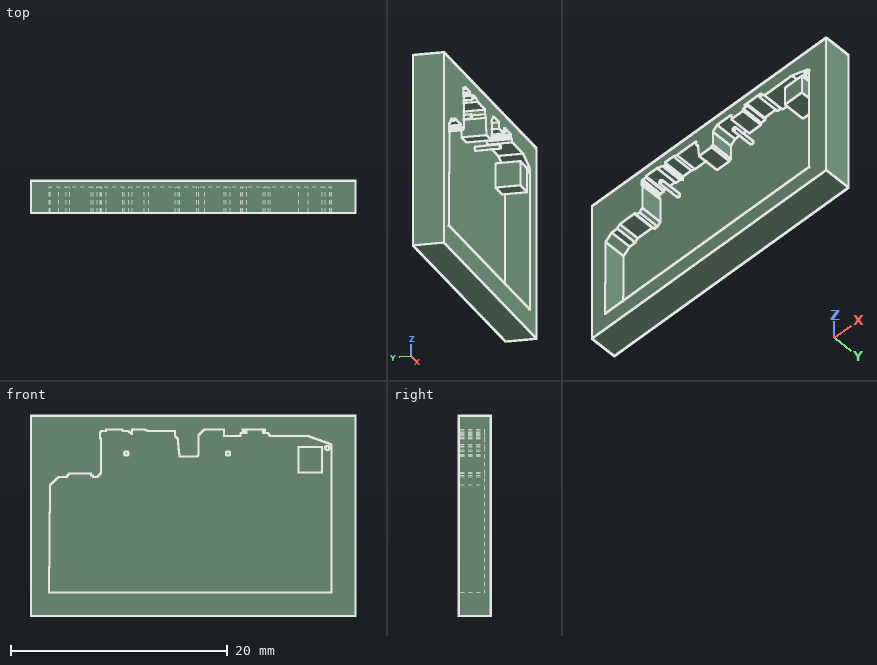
import cadquery as cq

WIDTH = 30.0
THICKNESS = 3.0
HEIGHT = 18.5
POCKET_DEPTH = 2.4

POCKET_LEFT = 1.68
POCKET_LEFT_TOP = 1.77
POCKET_RIGHT = 27.79
POCKET_BOTTOM = 2.16

SHOULDER_LOW = 12.82
SHOULDER_HIGH = 13.18
TONGUE_BOTTOM = 14.72
EDGE_Z = 16.62
LIP_Z = 16.89
LEDGE_Z = 17.07
CROWN_Z = 17.25
STEP = 0.18
SHOULDER_STEP_X = 5.54

PIN_DIAMETER = 0.39
PIN_CENTERS = [(8.82, 15.01), (18.21, 15.01), (27.38, 15.53)]
BLOCK_LEFT = 24.72
BLOCK_BOTTOM = 13.27
BLOCK_WIDTH = 2.16
BLOCK_HEIGHT = 2.35


def front_plane(depth):
    """Sketch plane at Y = depth, with X to the right, Z up and its normal toward -Y."""
    return cq.Workplane("XZ", origin=(0, depth, 0))


def pocket_outline():
    """Points (X, Z) of the pocket, clockwise from its lower left corner."""
    left_shoulder = [
        (POCKET_LEFT, POCKET_BOTTOM),
        (POCKET_LEFT_TOP, 12.10),
        (2.54, SHOULDER_LOW),
        (3.26, SHOULDER_LOW),
        (3.58, SHOULDER_HIGH),
        (SHOULDER_STEP_X, SHOULDER_HIGH),
        (SHOULDER_STEP_X, SHOULDER_HIGH - STEP),
        (SHOULDER_STEP_X + STEP, SHOULDER_HIGH - STEP),
        (SHOULDER_STEP_X + STEP, SHOULDER_LOW),
        (6.11, SHOULDER_LOW),
        (6.47, 13.18),
    ]
    left_crown = [
        (6.47, 16.39),
        (6.38, 16.48),
        (6.38, 16.94),
        (6.51, LEDGE_Z),
        (6.92, LEDGE_Z),
        (6.92, CROWN_Z),
        (8.46, CROWN_Z),
        (8.46, LEDGE_Z),
        (9.00, LEDGE_Z),
        (9.36, 16.80),
        (9.36, CROWN_Z),
        (10.44, CROWN_Z),
        (10.89, LEDGE_Z),
    ]
    tongue = [
        (13.33, LEDGE_Z),
        (13.33, EDGE_Z),
        (13.57, 16.35),
        (13.73, TONGUE_BOTTOM),
        (15.32, TONGUE_BOTTOM),
        (15.50, TONGUE_BOTTOM + STEP),
        (15.50, 16.71),
        (16.04, CROWN_Z),
    ]
    right_crown = [
        (17.85, CROWN_Z),
        (17.85, EDGE_Z),
        (19.35, EDGE_Z),
        (19.39, LIP_Z),
        (19.93, LIP_Z),
        (19.93, LIP_Z + STEP),
        (19.57, LIP_Z + STEP),
        (19.57, CROWN_Z),
        (21.64, CROWN_Z),
        (21.64, LIP_Z + STEP),
        (21.46, LIP_Z + STEP),
        (21.46, LIP_Z),
        (21.92, LIP_Z),
        (22.10, EDGE_Z),
    ]
    right_side = [
        (25.62, EDGE_Z),
        (27.52, 15.94),
        (27.70, 15.86),
        (POCKET_RIGHT, 15.71),
        (POCKET_RIGHT, POCKET_BOTTOM),
    ]
    return left_shoulder + left_crown + tongue + right_crown + right_side


def plate():
    return cq.Workplane("XY").box(WIDTH, THICKNESS, HEIGHT, centered=False)


def pocket():
    return front_plane(POCKET_DEPTH).polyline(pocket_outline()).close().extrude(POCKET_DEPTH)


def pins():
    return front_plane(POCKET_DEPTH).pushPoints(PIN_CENTERS).circle(PIN_DIAMETER / 2).extrude(POCKET_DEPTH)


def block():
    return (
        front_plane(POCKET_DEPTH)
        .moveTo(BLOCK_LEFT, BLOCK_BOTTOM)
        .rect(BLOCK_WIDTH, BLOCK_HEIGHT, centered=False)
        .extrude(POCKET_DEPTH)
    )


result = plate().cut(pocket()).union(pins()).union(block())